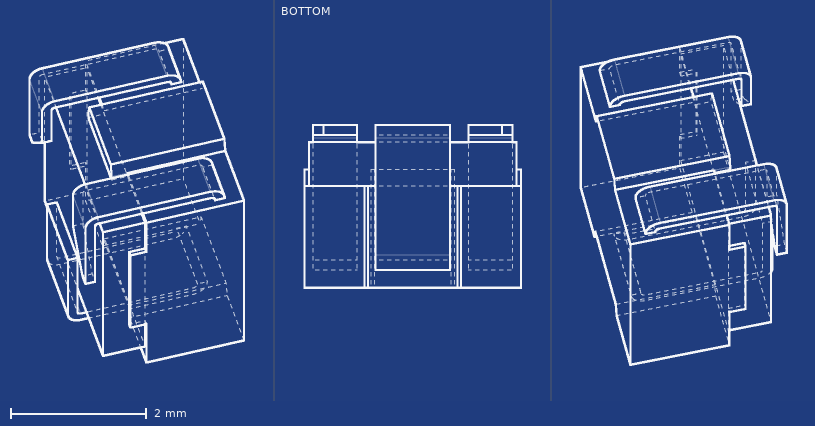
import cadquery as cq
import math


height = 3.5
width = 3.2
depth = 2.4

housing_depth = 1.5
tab_depth = 1.745
tab_end_margin = 0.903
step = 0.225
ridge_top_width = 1.13
ridge_base_width = 1.232
notch_ceiling_width = 1.312
notch_mouth_width = 1.42

block_width = 3.065
block_front = 2.15
block_end_margin = 0.3

strip_thickness = 0.15
front_bend_radius = 0.195
rear_bend_radius = step
terminal_rear = 0.26
side_terminal_width = 0.655
side_terminal_inset = 0.125
side_terminal_drop = 1.495
side_terminal_tip_width = 0.155
side_terminal_straight = 0.91
centre_terminal_width = 1.1
centre_terminal_drop = 1.47

housing_top = height - step
block_bottom = block_end_margin
block_top = height - block_end_margin
side_tab_thickness = (width - block_width) / 2
side_terminal_x = width / 2 - side_terminal_inset - side_terminal_width / 2


def box(x_size, y_front, y_back, z_bottom, z_top, x_centre=0):
    """Block centred on x_centre between two depths from the back face and two heights."""
    return (
        cq.Workplane("XY")
        .box(x_size, y_front - y_back, z_top - z_bottom, centered=(True, False, False))
        .translate((x_centre, -y_front, z_bottom))
    )


def trapezoid_prism(bottom_width, top_width, z_bottom, z_top, length):
    """Symmetric trapezoid drawn in XZ and run forward from the back face."""
    outline = [
        (-bottom_width / 2, z_bottom),
        (bottom_width / 2, z_bottom),
        (top_width / 2, z_top),
        (-top_width / 2, z_top),
    ]
    return cq.Workplane("XZ").polyline(outline).close().extrude(length)


def make_housing():
    body = box(width, housing_depth, 0, 0, housing_top)

    for side in (-1, 1):
        body = body.union(
            box(
                side_tab_thickness, tab_depth, 0, tab_end_margin, height - tab_end_margin,
                side * (width - side_tab_thickness) / 2,
            )
        )

    ridge = trapezoid_prism(ridge_base_width, ridge_top_width, housing_top, height, tab_depth)
    ridge_lip = box(ridge_base_width, tab_depth, 0, block_top, housing_top)
    body = body.union(ridge).union(ridge_lip)

    notch = trapezoid_prism(notch_mouth_width, notch_ceiling_width, 0, step, housing_depth)
    return body.cut(notch)


def make_block():
    return box(block_width, block_front, housing_depth, block_bottom, block_top)


def bent_strip(strip_width, drop):
    """Terminal along the top: rises off the housing, runs forward and bends down in front."""
    rear_inner_radius = rear_bend_radius - strip_thickness
    front_inner_radius = front_bend_radius - strip_thickness
    rear_y = -(terminal_rear + rear_bend_radius)
    rear_z = height - rear_bend_radius
    front_y = front_bend_radius - depth
    front_z = height - front_bend_radius
    inner_z = height - strip_thickness
    tip_z = height - drop
    diagonal = math.sqrt(0.5)

    profile = (
        cq.Workplane("YZ")
        .moveTo(-terminal_rear, rear_z)
        .threePointArc(
            (rear_y + rear_bend_radius * diagonal, rear_z + rear_bend_radius * diagonal),
            (rear_y, height),
        )
        .lineTo(front_y, height)
        .threePointArc(
            (front_y - front_bend_radius * diagonal, front_z + front_bend_radius * diagonal),
            (-depth, front_z),
        )
        .lineTo(-depth, tip_z)
        .lineTo(strip_thickness - depth, tip_z)
        .lineTo(strip_thickness - depth, front_z)
        .threePointArc(
            (front_y - front_inner_radius * diagonal, front_z + front_inner_radius * diagonal),
            (front_y, inner_z),
        )
        .lineTo(rear_y, inner_z)
        .threePointArc(
            (rear_y + rear_inner_radius * diagonal, rear_z + rear_inner_radius * diagonal),
            (rear_y + rear_inner_radius, rear_z),
        )
        .close()
    )
    return profile.extrude(strip_width / 2, both=True)


def make_side_terminal(side):
    """Upper terminal whose tip is cut at a slant on the edge facing the middle."""
    strip = bent_strip(side_terminal_width, side_terminal_drop)
    outer_edge = side * side_terminal_width / 2
    slant = [
        (-outer_edge, height - side_terminal_straight),
        (-outer_edge, height - side_terminal_drop),
        (outer_edge - side * side_terminal_tip_width, height - side_terminal_drop),
    ]
    corner = cq.Workplane("XZ").polyline(slant).close().extrude(depth)
    return strip.cut(corner).translate((side * side_terminal_x, 0, 0))


def make_centre_terminal():
    """Lower terminal: the same bent strip turned upside down, seated in the notch."""
    strip = bent_strip(centre_terminal_width, centre_terminal_drop)
    return strip.mirror("XY", (0, 0, height / 2))


housing = make_housing()
block = make_block()
side_terminals = [make_side_terminal(side) for side in (-1, 1)]
centre_terminal = make_centre_terminal()

result = cq.Compound.makeCompound([
    housing.val(),
    block.val(),
    *[terminal.val() for terminal in side_terminals],
    centre_terminal.val(),
])